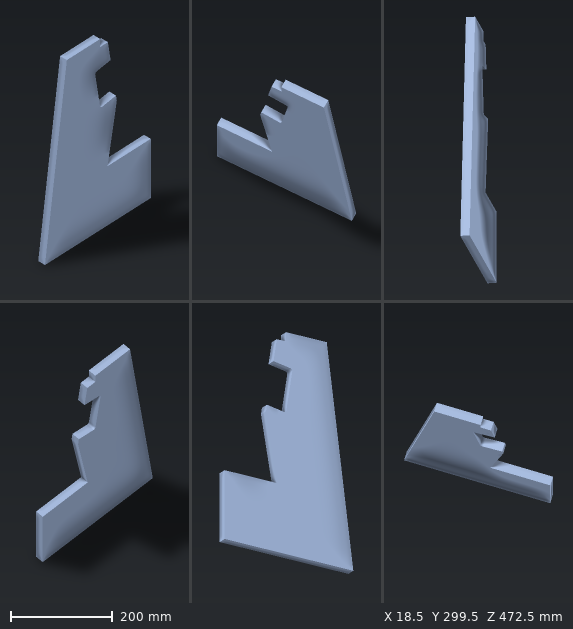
import cadquery as cq
import math

thickness = 18.5
base_depth = 299.5
height = 472.5
base_height = 146.5
shelf_depth = 122.5
top_edge_start = 62.0
top_width = 94.5
step_drop = 20.0
step_width = 21.5
tilt = math.radians(9)
upper_lip_length = 49.0
notch_depth = 45.0
notch_height = 97.5
lower_lip_length = 14.5
notch_radius = 5.0


def along_tilt(point, inward, downward):
    """Move by distances measured along the tilted notch directions."""
    y, z = point
    return (
        y - inward * math.cos(tilt) + downward * math.sin(tilt),
        z - inward * math.sin(tilt) - downward * math.cos(tilt),
    )


step_y = top_edge_start + top_width
step_z = height - step_drop
upper_lip_top = (step_y + step_width, step_z)
upper_lip_tip = along_tilt(upper_lip_top, 0, upper_lip_length)
notch_top = along_tilt(upper_lip_tip, notch_depth, 0)
notch_bottom = along_tilt(notch_top, 0, notch_height)
lower_lip_tip = along_tilt(notch_bottom, -notch_depth, 0)
lower_lip_end = along_tilt(lower_lip_tip, 0, lower_lip_length)

outline = [
    (0, 0),
    (top_edge_start, height),
    (step_y, height),
    (step_y, step_z),
    upper_lip_top,
    upper_lip_tip,
    notch_top,
    notch_bottom,
    lower_lip_tip,
    lower_lip_end,
    (base_depth - shelf_depth, base_height),
    (base_depth, base_height),
    (base_depth, 0),
]
plate = cq.Workplane("YZ").polyline(outline).close().extrude(thickness)

for corner_y, corner_z in (notch_top, notch_bottom):
    corner = cq.selectors.NearestToPointSelector((thickness / 2, corner_y, corner_z))
    plate = plate.edges("|X").edges(corner).fillet(notch_radius)

result = plate